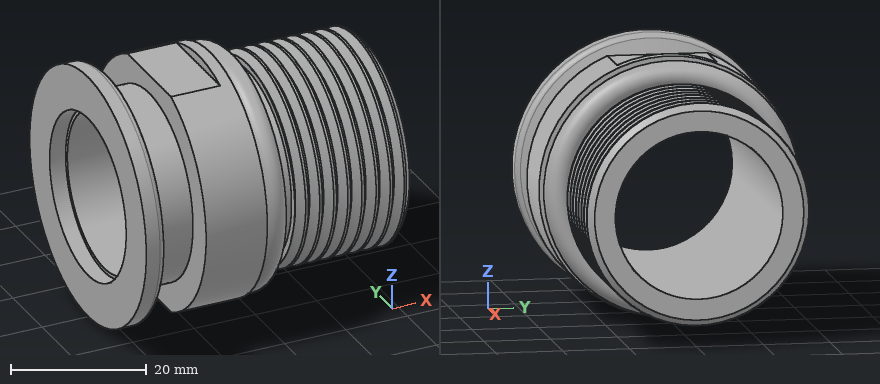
import cadquery as cq
import math

LENGTH = 45.0
BORE_DIA = 25.0
NECK_DIA = 30.0
SEAT_DIA = 30.2

FLANGE_DIA = 40.0
FLANGE_RIM = 2.95
FLANGE_TAPER = 15.0
RIM_FILLET = 1.0
FLANGE_ROOT_FILLET = 0.5
SELECTION_MARGIN = 0.05
CENTERING_DIA = 26.2
CENTERING_DEPTH = 2.6

COLLAR_DIA = 38.95
COLLAR_START = 10.0
COLLAR_END = 20.0
FLAT_LENGTH = 8.0
ACROSS_FLATS = 36.0

SEAL_SECTION_DIA = 4.0

THREAD_DIA = 33.25
THREAD_START = 26.0
THREAD_ROOT_DIA = SEAT_DIA
THREAD_PITCH = 2.3
THREAD_CREST = 0.45
GROOVE_COUNT = 8
LAST_CREST = 43.88
THREAD_END_CHAMFER = 1.0


def cylinder(start, end, diameter):
    """Solid cylinder along X between two stations."""
    return cq.Workplane("YZ", origin=(start, 0, 0)).circle(diameter / 2).extrude(end - start)


def revolve_about_x(profile):
    """Turn a closed profile, drawn as (station, radius), about the X axis."""
    return profile.revolve(360, (0, 0, 0), (1, 0, 0))


def edges_at(station):
    """Selector for the round edges that lie at one station along X."""
    near = (station - SELECTION_MARGIN, -FLANGE_DIA, -FLANGE_DIA)
    far = (station + SELECTION_MARGIN, FLANGE_DIA, FLANGE_DIA)
    return cq.selectors.BoxSelector(near, far)


def make_flange():
    """Rim, tapered back and neck, with both corners of the taper rounded."""
    rim_radius = FLANGE_DIA / 2
    neck_radius = NECK_DIA / 2
    slope = math.tan(math.radians(FLANGE_TAPER))
    taper_end = FLANGE_RIM + (rim_radius - neck_radius) * slope
    profile = cq.Workplane("XY").polyline([
        (0, 0),
        (0, rim_radius),
        (FLANGE_RIM, rim_radius),
        (taper_end, neck_radius),
        (COLLAR_START, neck_radius),
        (COLLAR_START, 0),
    ]).close()
    flange = revolve_about_x(profile)
    flange = flange.edges(edges_at(FLANGE_RIM)).fillet(RIM_FILLET)
    return flange.edges(edges_at(taper_end)).fillet(FLANGE_ROOT_FILLET)


def make_collar():
    """Round collar with a wrench flat on its +Z and -Z sides."""
    collar = cylinder(COLLAR_START, COLLAR_END, COLLAR_DIA)
    flat_middle = COLLAR_START + FLAT_LENGTH / 2
    cut_depth = (COLLAR_DIA - ACROSS_FLATS) / 2
    for side in (1, -1):
        cutter = cq.Workplane("XY").box(FLAT_LENGTH, COLLAR_DIA, cut_depth)
        cut_height = side * (ACROSS_FLATS + cut_depth) / 2
        collar = collar.cut(cutter.translate((flat_middle, 0, cut_height)))
    return collar


def make_thread():
    """Chamfered cylinder with evenly spaced V grooves."""
    thread = cylinder(THREAD_START, LENGTH, THREAD_DIA)
    thread = thread.faces(">X").edges().chamfer(THREAD_END_CHAMFER)
    half_opening = (THREAD_PITCH - THREAD_CREST) / 2
    for index in range(GROOVE_COUNT):
        root = LAST_CREST - (index + 0.5) * THREAD_PITCH
        groove = cq.Workplane("XY").polyline([
            (root - half_opening, THREAD_DIA / 2),
            (root, THREAD_ROOT_DIA / 2),
            (root + half_opening, THREAD_DIA / 2),
        ]).close()
        thread = thread.cut(revolve_about_x(groove))
    return thread


def make_fitting():
    """Flange, collar, seal seat and thread in one piece, bored through."""
    seat = cylinder(COLLAR_END, THREAD_START, SEAT_DIA)
    fitting = make_flange().union(make_collar()).union(seat).union(make_thread())
    fitting = fitting.cut(cylinder(0, LENGTH, BORE_DIA))
    return fitting.cut(cylinder(0, CENTERING_DEPTH, CENTERING_DIA))


def make_seal():
    """Round-section ring that touches the seat and the collar shoulder."""
    section_radius = SEAL_SECTION_DIA / 2
    section_middle = (COLLAR_END + section_radius, SEAT_DIA / 2 + section_radius)
    return revolve_about_x(cq.Workplane("XY").moveTo(*section_middle).circle(section_radius))


fitting = make_fitting()
seal = make_seal()

result = cq.Compound.makeCompound([fitting.val(), seal.val()])